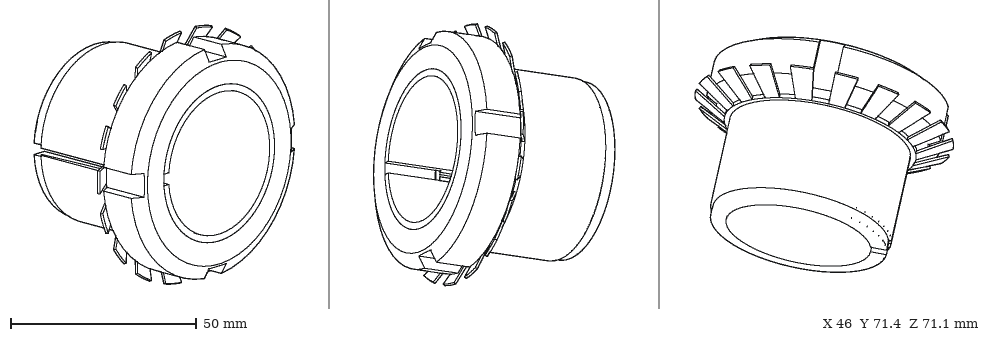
import cadquery as cq
import math


total_length = 46.0
bush_start = 3.15
washer_start = 28.9
washer_thickness = 1.15
nut_start = washer_start + washer_thickness

bore_radius = 40 / 2
thread_radius = 43.9 / 2
taper_large_radius = 24.45
taper_small_radius = 22.95
bush_radius = 50 / 2
edge_rounding = 0.4
sleeve_slit_width = 3.3
bush_slit_width = 2.0

washer_bore_radius = 45 / 2
washer_rim_radius = 26.5
tooth_count = 18
tooth_tip_radius = 35.7
tooth_tip_width = 6.5
tooth_root_width = 4.6
tooth_thickness = 0.7
tooth_tilt = math.radians(30.5)

nut_radius = 32.5
nut_back_radius = 28.45
nut_slot_count = 4
nut_slot_width = 6.7
nut_slot_floor_radius = 29.15
nut_cone_angle = math.radians(30)


def turned(profile):
    """Solid of revolution about the X axis, its seam on the slit side (-Y)."""
    solid = cq.Workplane("XY").polyline(profile).close().revolve(360, (0, 0, 0), (1, 0, 0))
    return solid.rotate((0, 0, 0), (1, 0, 0), 180)


def round_front_rim(body):
    """Round the outer edge of the -X end face."""
    outer_edge = cq.selectors.RadiusNthSelector(-1)
    return body.faces("<X").edges(outer_edge).fillet(edge_rounding)


def radial_channel(width, floor_radius):
    """Cutter along the whole length on the -Y side, from the floor radius outward."""
    channel = cq.Workplane("XY").box(total_length, nut_radius, width, centered=(False, False, True))
    return channel.translate((0, -floor_radius - nut_radius, 0))


def taper_radius(x):
    """Radius at x of the taper shared by the sleeve and the bush bore."""
    return taper_large_radius - (taper_large_radius - taper_small_radius) * x / washer_start


def make_sleeve():
    body = turned([
        (0, bore_radius),
        (0, taper_large_radius),
        (washer_start, taper_small_radius),
        (washer_start, thread_radius),
        (total_length, thread_radius),
        (total_length, bore_radius),
    ])
    return round_front_rim(body).cut(radial_channel(sleeve_slit_width, 0))


def make_bush():
    body = turned([
        (bush_start, taper_radius(bush_start)),
        (bush_start, bush_radius),
        (washer_start, bush_radius),
        (washer_start, taper_small_radius),
    ])
    return round_front_rim(body).cut(radial_channel(bush_slit_width, 0))


def make_tooth_cone():
    """Full conical skirt, square at its tip, from which the teeth are cut."""
    front_tip_x = washer_start + (tooth_tip_radius - washer_rim_radius) * math.tan(tooth_tilt)
    back_tip_x = front_tip_x + tooth_thickness * math.cos(tooth_tilt)
    back_tip_radius = tooth_tip_radius - tooth_thickness * math.sin(tooth_tilt)
    back_root_radius = washer_rim_radius - tooth_thickness / math.sin(tooth_tilt)
    return turned([
        (washer_start, back_root_radius),
        (washer_start, washer_rim_radius),
        (front_tip_x, tooth_tip_radius),
        (back_tip_x, back_tip_radius),
    ])


def make_tooth_outline():
    """Prism along X that widens evenly from the washer bore out past the tooth tip."""
    widening = (tooth_tip_width - tooth_root_width) / (tooth_tip_radius - washer_rim_radius)
    outer_radius = tooth_tip_radius + washer_thickness

    def half_width(radius):
        return (tooth_root_width + widening * (radius - washer_rim_radius)) / 2

    inner_half = half_width(washer_bore_radius)
    outer_half = half_width(outer_radius)
    outline = cq.Workplane("YZ").polyline([
        (washer_bore_radius, -inner_half),
        (outer_radius, -outer_half),
        (outer_radius, outer_half),
        (washer_bore_radius, inner_half),
    ])
    return outline.close().extrude(total_length)


def make_washer():
    washer = turned([
        (washer_start, washer_bore_radius),
        (washer_start, washer_rim_radius),
        (nut_start, washer_rim_radius),
        (nut_start, washer_bore_radius),
    ])
    tooth = make_tooth_cone().intersect(make_tooth_outline())
    for i in range(tooth_count):
        washer = washer.union(tooth.rotate((0, 0, 0), (1, 0, 0), i * 360 / tooth_count))
    return washer


def make_nut():
    cone_slope = math.tan(nut_cone_angle)
    front_cone_end = nut_start + (nut_radius - washer_rim_radius) * cone_slope
    back_cone_start = total_length - (nut_radius - nut_back_radius) * cone_slope
    countersink_depth = washer_bore_radius - thread_radius
    nut = turned([
        (nut_start, washer_bore_radius),
        (nut_start, washer_rim_radius),
        (front_cone_end, nut_radius),
        (back_cone_start, nut_radius),
        (total_length, nut_back_radius),
        (total_length, thread_radius),
        (nut_start + countersink_depth, thread_radius),
    ])
    slot = radial_channel(nut_slot_width, nut_slot_floor_radius)
    for i in range(nut_slot_count):
        nut = nut.cut(slot.rotate((0, 0, 0), (1, 0, 0), i * 360 / nut_slot_count))
    return nut


sleeve = make_sleeve()
bush = make_bush()
washer = make_washer()
nut = make_nut()

result = cq.Compound.makeCompound([sleeve.val(), bush.val(), washer.val(), nut.val()])